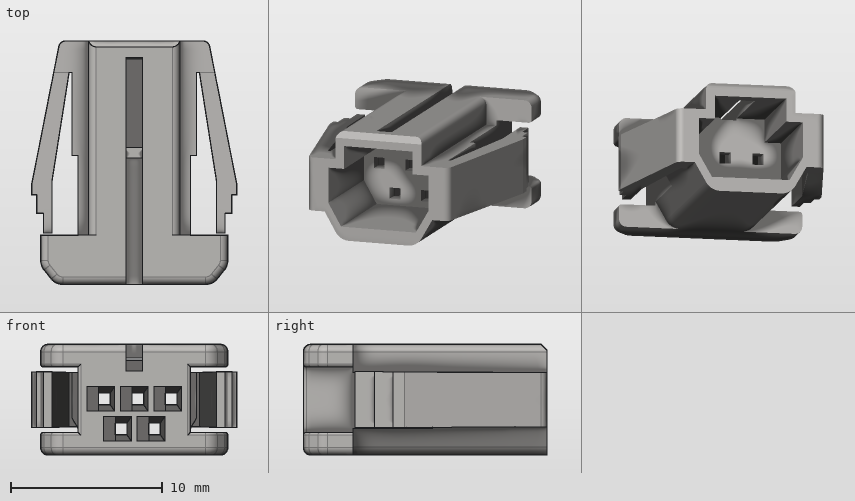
import cadquery as cq
import math

LENGTH = 16.05
WIDTH = 13.5
HEIGHT = 7.3
TOP = HEIGHT / 2
CUT_MARGIN = 0.8

PLATE_HALF_WIDTH = 6.16
PLATE_DEPTH = 3.26
PLATE_CHAMFER_X = 1.0
PLATE_CHAMFER_Y = 1.24
PLATE_CORNER_RADIUS = 1.0
RIM_RADIUS = 0.5
NOTCH_HALF_HEIGHT = 2.15
NOTCH_RADIUS = 0.2

BLOCK_HALF_WIDTH = 3.0
REAR_CHAMFER = 0.4
SHOULDER_HALF_HEIGHT = 1.8
WAIST_HALF_WIDTH = 3.7
FLANK_HALF_WIDTH = 4.11
FLANK_START = 8.49
FLANK_BEND_Z = -1.19
FLANK_SLOPE = math.tan(math.radians(30))
KEEL_RADIUS = 1.09

ROOT_START = 13.95
ROOT_OUTER_X = 5.31
ROOT_INNER_X = 4.29
ROOT_RADIUS = 0.48
LATCH_OUTER_X = WIDTH / 2
LATCH_TAPER_END = 6.65
LATCH_STEP = 5.9
GRIP_OUTER_X = 6.42
GRIP_STEP = 4.69
TIP_OUTER_X = 5.99
TIP_END = 3.39
ARM_INNER_X = 5.41
ARM_INNER_BEND = 6.8
TIP_HALF_HEIGHT = 1.85

GROOVE_WIDTH = 1.06
GROOVE_FLOOR = 1.9
GROOVE_STEP = 8.33
GROOVE_STEP_FLOOR = 2.6
GROOVE_END_BOTTOM = 14.85
GROOVE_END_TOP = 14.95

CAVITY_START = 9.04
CAVITY_TOP = 2.73
WALL = 0.61

HOLE_PITCH = 2.2
HOLE_WIDTH = 1.83
HOLE_HEIGHT = 1.62
HOLE_DEPTH = 7.22
FUNNEL_DEPTH = 0.96
FUNNEL_WIDTH = 1.06
WINDOW_SIZE = 0.75
UPPER_ROW_Z = 0.05
LOWER_ROW_Z = -1.93


def block(x_min, x_max, y_min, y_max, z_min, z_max):
    """Box given by its limits along each axis."""
    size = (x_max - x_min, y_max - y_min, z_max - z_min)
    return cq.Workplane("XY").box(*size, centered=False).translate((x_min, y_min, z_min))


def mirrored_section(half_points):
    """Full XZ outline from its right half, listed from top to bottom."""
    return half_points + [(-x, z) for x, z in reversed(half_points)]


def extrude_along_y(points, y_min, y_max):
    sketch = cq.Workplane("XZ", origin=(0, y_min, 0)).polyline(points).close()
    return sketch.extrude(y_min - y_max)


def flank_x(z):
    """Half width of the sloping lower flank at height z."""
    return FLANK_HALF_WIDTH - (FLANK_BEND_Z - z) * FLANK_SLOPE


def both_sides_of_waist(y_min, y_max, half_height):
    """Cutter that removes everything outside the waist on the left and right."""
    reach = PLATE_HALF_WIDTH + CUT_MARGIN
    right = block(WAIST_HALF_WIDTH, reach, y_min, y_max, -half_height, half_height)
    return right.union(right.mirror("YZ"))


def make_front_plate():
    outline = [
        (PLATE_HALF_WIDTH, PLATE_DEPTH),
        (PLATE_HALF_WIDTH, PLATE_CHAMFER_Y),
        (PLATE_HALF_WIDTH - PLATE_CHAMFER_X, 0),
    ]
    outline += [(-x, y) for x, y in reversed(outline)]
    plate = cq.Workplane("XY", origin=(0, 0, -TOP)).polyline(outline).close().extrude(HEIGHT)
    plate = plate.edges("|Z").edges("not >Y").fillet(PLATE_CORNER_RADIUS)
    plate = plate.faces("<Z or >Z").edges("not >Y").fillet(RIM_RADIUS)

    plate = plate.cut(both_sides_of_waist(-CUT_MARGIN, PLATE_DEPTH, NOTCH_HALF_HEIGHT))
    reach = PLATE_HALF_WIDTH + CUT_MARGIN
    rim_zone = cq.selectors.BoxSelector(
        (-reach, -CUT_MARGIN, -NOTCH_HALF_HEIGHT - NOTCH_RADIUS),
        (reach, PLATE_DEPTH - NOTCH_RADIUS, NOTCH_HALF_HEIGHT + NOTCH_RADIUS),
    )
    notch_creases = cq.selectors.BoxSelector(
        (-WAIST_HALF_WIDTH - NOTCH_RADIUS, NOTCH_RADIUS, -TOP),
        (WAIST_HALF_WIDTH + NOTCH_RADIUS, PLATE_DEPTH, TOP),
    )
    return plate.edges(rim_zone - notch_creases).fillet(NOTCH_RADIUS)


def make_body():
    upper = block(-BLOCK_HALF_WIDTH, BLOCK_HALF_WIDTH, PLATE_DEPTH, LENGTH, 0, TOP)
    upper = upper.edges("|Y and >Z").fillet(RIM_RADIUS)
    chamfer_wedge = [(LENGTH - REAR_CHAMFER, TOP), (LENGTH, TOP), (LENGTH, TOP - REAR_CHAMFER)]
    upper = upper.cut(
        cq.Workplane("YZ").polyline(chamfer_wedge).close().extrude(BLOCK_HALF_WIDTH, both=True)
    )

    flank = mirrored_section([
        (FLANK_HALF_WIDTH, SHOULDER_HALF_HEIGHT),
        (FLANK_HALF_WIDTH, FLANK_BEND_Z),
        (flank_x(-TOP), -TOP),
    ])
    lower = extrude_along_y(flank, PLATE_DEPTH, LENGTH)
    lower = lower.edges("|Y and <Z").fillet(KEEL_RADIUS)

    lower = lower.cut(both_sides_of_waist(PLATE_DEPTH, FLANK_START, TOP))
    return upper.union(lower)


def make_latch_arm():
    """Right-hand arm with the root that joins it to the body."""
    taper = (LATCH_OUTER_X - ROOT_OUTER_X) / (ROOT_START - LATCH_TAPER_END)
    rear_outer_x = ROOT_OUTER_X - taper * (LENGTH - ROOT_START)
    root_outline = [
        (0, ROOT_START),
        (ROOT_OUTER_X, ROOT_START),
        (rear_outer_x, LENGTH),
        (0, LENGTH),
    ]
    root = cq.Workplane("XY", origin=(0, 0, -SHOULDER_HALF_HEIGHT)).polyline(root_outline).close()
    root = root.extrude(2 * SHOULDER_HALF_HEIGHT)
    root = root.edges("|Z and >Y").edges(">X").fillet(ROOT_RADIUS)

    arm_outline = [
        (ROOT_INNER_X, ROOT_START),
        (ROOT_OUTER_X, ROOT_START),
        (LATCH_OUTER_X, LATCH_TAPER_END),
        (LATCH_OUTER_X, LATCH_STEP),
        (GRIP_OUTER_X, LATCH_STEP),
        (GRIP_OUTER_X, GRIP_STEP),
        (TIP_OUTER_X, GRIP_STEP),
        (TIP_OUTER_X, TIP_END),
        (ARM_INNER_X, TIP_END),
        (ARM_INNER_X, ARM_INNER_BEND),
    ]
    arm = cq.Workplane("XY", origin=(0, 0, -TOP)).polyline(arm_outline).close().extrude(HEIGHT)

    side_outline = [
        (TIP_END, TIP_HALF_HEIGHT),
        (ROOT_START, SHOULDER_HALF_HEIGHT),
        (ROOT_START, -SHOULDER_HALF_HEIGHT),
        (TIP_END, -TIP_HALF_HEIGHT),
    ]
    side = cq.Workplane("YZ").polyline(side_outline).close().extrude(LATCH_OUTER_X + CUT_MARGIN)
    return root.union(arm.intersect(side))


def make_groove():
    profile = [
        (-CUT_MARGIN, TOP + CUT_MARGIN),
        (-CUT_MARGIN, GROOVE_FLOOR),
        (GROOVE_STEP, GROOVE_FLOOR),
        (GROOVE_STEP, GROOVE_STEP_FLOOR),
        (CAVITY_START, GROOVE_STEP_FLOOR),
        (CAVITY_START, CAVITY_TOP),
        (GROOVE_END_BOTTOM, CAVITY_TOP),
        (GROOVE_END_TOP, TOP),
        (GROOVE_END_TOP, TOP + CUT_MARGIN),
    ]
    return cq.Workplane("YZ").polyline(profile).close().extrude(GROOVE_WIDTH / 2, both=True)


def make_cavity():
    """Open pocket that follows the body outline at a constant side wall."""
    shoulder_z = SHOULDER_HALF_HEIGHT - WALL
    section = mirrored_section([
        (BLOCK_HALF_WIDTH - WALL, CAVITY_TOP),
        (BLOCK_HALF_WIDTH - WALL, shoulder_z),
        (FLANK_HALF_WIDTH - WALL, shoulder_z),
        (FLANK_HALF_WIDTH - WALL, FLANK_BEND_Z),
        (flank_x(-CAVITY_TOP) - WALL, -CAVITY_TOP),
    ])
    return extrude_along_y(section, CAVITY_START, LENGTH + CUT_MARGIN)


def make_terminal_hole(center_x, center_z):
    """Rectangular hole whose right-hand part funnels down to a square window."""
    right = center_x + HOLE_WIDTH / 2
    left = right - FUNNEL_WIDTH
    bottom = center_z - HOLE_HEIGHT / 2
    entry = block(right - HOLE_WIDTH, right, -CUT_MARGIN, HOLE_DEPTH, bottom, bottom + HOLE_HEIGHT)
    funnel = (
        cq.Workplane("XZ", origin=(0, HOLE_DEPTH, 0))
        .center(left + FUNNEL_WIDTH / 2, center_z)
        .rect(FUNNEL_WIDTH, HOLE_HEIGHT)
        .workplane(offset=-FUNNEL_DEPTH)
        .center((WINDOW_SIZE - FUNNEL_WIDTH) / 2, 0)
        .rect(WINDOW_SIZE, WINDOW_SIZE)
        .loft(ruled=True)
    )
    half_window = WINDOW_SIZE / 2
    window = block(
        left, left + WINDOW_SIZE, HOLE_DEPTH, CAVITY_START + CUT_MARGIN,
        center_z - half_window, center_z + half_window,
    )
    return entry.union(funnel).union(window)


arm = make_latch_arm()
result = make_front_plate().union(make_body()).union(arm).union(arm.mirror("YZ"))
result = result.cut(make_cavity()).cut(make_groove())
for column in (-1, 0, 1):
    result = result.cut(make_terminal_hole(column * HOLE_PITCH, UPPER_ROW_Z))
for column in (-0.5, 0.5):
    result = result.cut(make_terminal_hole(column * HOLE_PITCH, LOWER_ROW_Z))